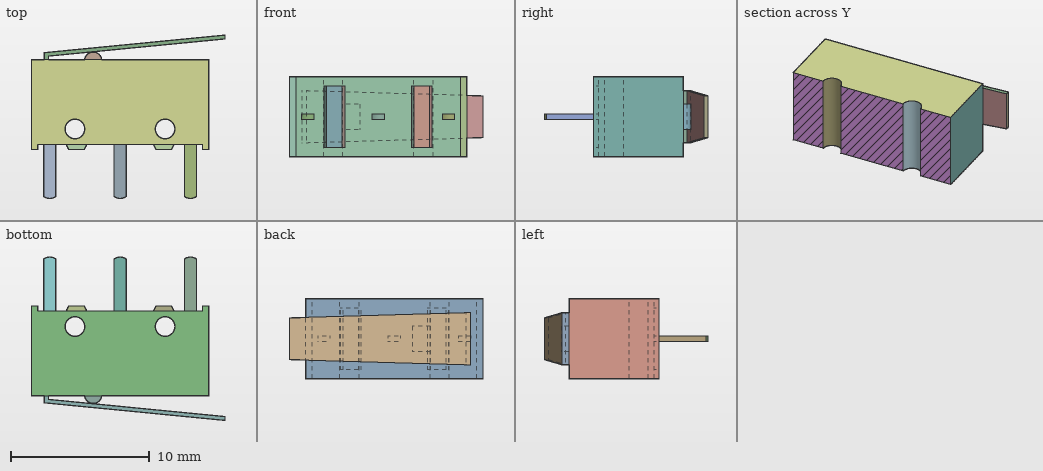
import cadquery as cq

housing_length = 12.8
housing_depth = 6.5
housing_thickness = 5.8
end_wall = 0.48
recess_depth = 0.36
terminal_face = recess_depth - housing_depth
housing_middle = housing_length / 2

hole_diameter = 1.4
hole_spacing = 6.5
hole_first_x = 3.15
hole_height = 1.5

rib_spacing = 6.29
rib_base_width = 1.5
rib_top_width = 1.12
rib_span = 4.42

terminal_pitch = 5.07
terminal_width = 0.9
terminal_thickness = 0.4
terminal_reach = 3.52
terminal_crown = 0.15

lever_left = 0.92
lever_right = 13.98
lever_foot_thickness = 0.32
lever_arm_thickness = 0.3
lever_bend_height = 0.5
lever_tip_height = 11.8 - housing_depth - terminal_reach
lever_root_width = 3.77
lever_tip_width = 3.02

plunger_x = 4.46
plunger_width = 1.25
plunger_height = 0.55
plunger_thickness = 1.82


def extrude_centred(outline, thickness):
    """Extrude a closed XY outline equally to both sides of Z = 0."""
    return outline.extrude(thickness / 2, both=True)


def make_rib(centre_x):
    """Bar with sloping flanks, narrowing away from the recessed face."""
    outline = (
        cq.Workplane("XY")
        .moveTo(centre_x - rib_base_width / 2, terminal_face)
        .lineTo(centre_x - rib_top_width / 2, -housing_depth)
        .lineTo(centre_x + rib_top_width / 2, -housing_depth)
        .lineTo(centre_x + rib_base_width / 2, terminal_face)
        .close()
    )
    return extrude_centred(outline, rib_span)


def make_terminal(centre_x):
    """Flat blade with a rounded tip."""
    left = centre_x - terminal_width / 2
    right = centre_x + terminal_width / 2
    tip_y = -housing_depth - terminal_reach
    shoulder_y = tip_y + terminal_crown
    outline = (
        cq.Workplane("XY")
        .moveTo(left, terminal_face)
        .lineTo(left, shoulder_y)
        .threePointArc((centre_x, tip_y), (right, shoulder_y))
        .lineTo(right, terminal_face)
        .close()
    )
    return extrude_centred(outline, terminal_thickness)


def make_housing():
    """Block with a recessed terminal face, ribs, terminals and mounting holes."""
    body = cq.Workplane("XY").box(housing_length, housing_depth, housing_thickness)
    body = body.translate((housing_middle, -housing_depth / 2, 0))

    recess = cq.Workplane("XY").box(housing_length - 2 * end_wall, recess_depth, housing_thickness)
    body = body.cut(recess.translate((housing_middle, terminal_face - recess_depth / 2, 0)))

    for side in (-1, 1):
        body = body.union(make_rib(housing_middle + side * rib_spacing / 2))
    for step in (-1, 0, 1):
        body = body.union(make_terminal(housing_middle + step * terminal_pitch))

    hole_y = hole_height - housing_depth
    hole_centres = [(hole_first_x, hole_y), (hole_first_x + hole_spacing, hole_y)]
    holes = cq.Workplane("XY").pushPoints(hole_centres).circle(hole_diameter / 2)
    return body.cut(extrude_centred(holes, housing_thickness))


def make_lever():
    """Bent strip: a short foot and a sloping arm that tapers towards its tip."""
    arm_slope = (lever_tip_height - lever_bend_height) / (lever_right - lever_left)
    foot_right = lever_left + lever_foot_thickness
    inner_bend_height = lever_bend_height - lever_arm_thickness + arm_slope * lever_foot_thickness
    profile = (
        cq.Workplane("XY")
        .moveTo(lever_left, 0)
        .lineTo(lever_left, lever_bend_height)
        .lineTo(lever_right, lever_tip_height)
        .lineTo(lever_right, lever_tip_height - lever_arm_thickness)
        .lineTo(foot_right, inner_bend_height)
        .lineTo(foot_right, 0)
        .close()
    )
    strip = extrude_centred(profile, lever_root_width)
    taper = (
        cq.Workplane("XZ")
        .moveTo(lever_left, -lever_root_width / 2)
        .lineTo(lever_right, -lever_tip_width / 2)
        .lineTo(lever_right, lever_tip_width / 2)
        .lineTo(lever_left, lever_root_width / 2)
        .close()
        .extrude(-lever_tip_height)
    )
    return strip.intersect(taper)


def make_plunger():
    """Domed button standing on the housing under the lever arm."""
    outline = (
        cq.Workplane("XY")
        .moveTo(plunger_x - plunger_width / 2, 0)
        .threePointArc((plunger_x, plunger_height), (plunger_x + plunger_width / 2, 0))
        .close()
    )
    return extrude_centred(outline, plunger_thickness)


housing = make_housing()
lever = make_lever()
plunger = make_plunger()

result = cq.Compound.makeCompound([housing.val(), lever.val(), plunger.val()])